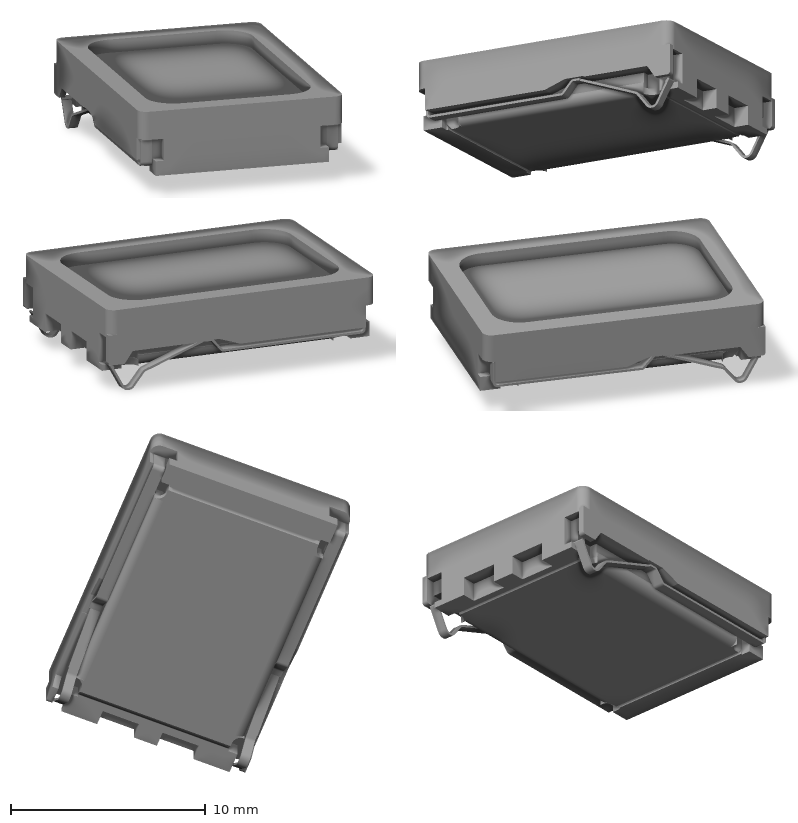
import cadquery as cq
import math

length = 15.0
width = 11.0
height = 3.45
corner_radius = 0.5
left = -length / 2
right = length / 2

rim_width = 1.1
tray_radius = 1.5
tray_depth = 0.7

wall_thickness = 0.33
wall_inner = width / 2 - wall_thickness
square_corner_top = 2.13
wall_foot = 0.51
foot_radius = 0.16
gap_ceiling = 1.14
crest_ceiling = 1.18
run_ceiling = 0.78
foot_end = left + 0.9
gap_start = left + 1.35
crest_pocket_start = left + 5.1
crest_pocket_end = left + 6.2
run_ceiling_start = left + 7.38

core_half_width = 4.65
bar_length = 1.08
bar_end = left + bar_length
end_block_length = 0.96
cove_radius = 0.5
end_half_width = core_half_width - cove_radius
yoke_half_length = length / 2 - bar_length - end_block_length
yoke_top = 0.6
yoke_edge_radius = 0.48
cove_top = 0.35
frame_set_back = 0.08
frame_half_width = core_half_width - frame_set_back
groove_width = 0.3
groove_depth = 0.33
toe_length = 0.1

left_notch_length = 0.51
right_notch_length = 0.57
notch_inner = 4.2
notch_top = 1.95
notch_floor = 0.33

slot_width = 2.04
slot_height = 1.02
slot_depth = 0.8
slot_offset = 1.65

spring_thickness = 0.12
core_clearance = 0.03
spring_low = -1.04
spring_inner = core_half_width + core_clearance
hook_outer = 5.19
beam_outer = 5.22
run_outer = 5.3
tip_inner = 4.5
tip_drop = 0.1
hook_radius = 0.33
bend_radius = 0.18

low_level = spring_low + spring_thickness / 2
crest_level = crest_ceiling - spring_thickness / 2
run_level = 0.46
tab_x = right - right_notch_length
tip = (left + 0.28, 0.38)
low_start = (left + 1.04, low_level)
low_end = (left + 1.42, low_level)
knee = (left + 2.13, -0.1)
crest_start = (left + 5.49, crest_level)
crest_end = (left + 5.9, crest_level)
run_start = (left + 6.46, run_level)
run_end = (tab_x, run_level)
tab_top = (tab_x, 1.75)


def block(x_min, x_max, y_min, y_max, z_min, z_max):
    """Box given by its limits along the three axes."""
    return cq.Workplane("XY").box(
        x_max - x_min, y_max - y_min, z_max - z_min, centered=False
    ).translate((x_min, y_min, z_min))


def both_sides(solid):
    """The solid together with its mirror image across the XZ plane."""
    return solid.union(solid.mirror("XZ"))


def extrude_across(outline, y_min, y_max):
    """Extrudes an XZ outline between two Y positions."""
    return outline.extrude(y_min - y_max).translate((0, y_min, 0))


def side_profile(points, y_min, y_max):
    """Prism along Y with an outline given as (x, z) points."""
    return extrude_across(cq.Workplane("XZ").polyline(points).close(), y_min, y_max)


def make_housing():
    body = block(left, right, -width / 2, width / 2, 0, height)
    body = body.edges("|Z").fillet(corner_radius)
    square_corner = block(
        left, left + corner_radius, wall_inner, width / 2, 0, square_corner_top
    )
    tray = (
        cq.Workplane("XY", origin=(0, 0, height))
        .rect(length - 2 * rim_width, width - 2 * rim_width)
        .extrude(-tray_depth)
        .edges("|Z")
        .fillet(tray_radius)
    )
    return body.union(both_sides(square_corner)).cut(tray)


def make_wall_opening():
    """Space below the side walls, stepped to follow the springs."""
    opening = side_profile(
        [
            (left, 0),
            (left, wall_foot),
            (foot_end, wall_foot),
            (gap_start, gap_ceiling),
            (crest_pocket_start, gap_ceiling),
            (crest_pocket_start, crest_ceiling),
            (crest_pocket_end, crest_ceiling),
            (run_ceiling_start, run_ceiling),
            (right, run_ceiling),
            (right, 0),
        ],
        core_half_width,
        width / 2,
    )
    hook_gap = block(left, crest_pocket_start, core_half_width, wall_inner, 0, gap_ceiling)
    return both_sides(opening.union(hook_gap))


def make_foot_round():
    """Rounds the lower -X edge of the side walls."""
    foot_edge = block(
        left, left + foot_radius, wall_inner, width / 2, wall_foot, wall_foot + foot_radius
    )
    rounding = (
        cq.Workplane("XZ", origin=(0, wall_inner, 0))
        .center(left + foot_radius, wall_foot + foot_radius)
        .circle(foot_radius)
        .extrude(-wall_thickness)
    )
    return both_sides(foot_edge.cut(rounding))


def make_end_recess():
    """Set-back between end bar and yoke, coved into the lower part of the yoke."""
    recess_end = -yoke_half_length
    recess = block(bar_end, recess_end, end_half_width, core_half_width, 0, gap_ceiling)
    cove = block(
        recess_end - cove_radius, recess_end, end_half_width, core_half_width, 0, cove_top
    ).cut(
        cq.Workplane("XY")
        .center(recess_end - cove_radius, core_half_width)
        .circle(cove_radius)
        .extrude(cove_top)
    )
    recess = both_sides(recess.cut(cove))
    groove = side_profile(
        [(bar_end + toe_length, 0), (bar_end, groove_depth), (bar_end + groove_width, 0)],
        -core_half_width,
        core_half_width,
    )
    return recess.union(groove)


def make_yoke_trim():
    """Rounds the lower side edges of the yoke and sets the frame above it back."""
    frame_step = block(
        -yoke_half_length, yoke_half_length, frame_half_width, core_half_width, yoke_top, gap_ceiling
    )
    edge_strip = block(
        -yoke_half_length, yoke_half_length,
        core_half_width - yoke_edge_radius, core_half_width,
        0, yoke_edge_radius,
    )
    edge_round = (
        cq.Workplane("YZ", origin=(-yoke_half_length, 0, 0))
        .center(core_half_width - yoke_edge_radius, yoke_edge_radius)
        .circle(yoke_edge_radius)
        .extrude(2 * yoke_half_length)
    )
    return both_sides(frame_step.union(edge_strip.cut(edge_round)))


def make_notches():
    left_notch = block(left, left + left_notch_length, notch_inner, wall_inner, notch_floor, notch_top)
    right_notch = block(right - right_notch_length, right, notch_inner, width / 2, run_ceiling, notch_top)
    return both_sides(left_notch.union(right_notch))


def make_slots():
    slot = block(
        left, left + slot_depth, slot_offset - slot_width / 2, slot_offset + slot_width / 2, 0, slot_height
    )
    return both_sides(slot)


def straight_strip(start, end, y_min, y_max):
    """Round-ended flat strip between two (x, z) points on its centre line."""
    run_x = end[0] - start[0]
    run_z = end[1] - start[1]
    outline = (
        cq.Workplane("XZ")
        .center((start[0] + end[0]) / 2, (start[1] + end[1]) / 2)
        .slot2D(
            math.hypot(run_x, run_z) + spring_thickness,
            spring_thickness,
            math.degrees(math.atan2(run_z, run_x)),
        )
    )
    return extrude_across(outline, y_min, y_max)


def bent_strip(points, y_min, y_max, radius):
    """Round-ended strip along an (x, z) centre line whose bends all have one radius."""
    path = cq.Workplane("XZ").polyline(points).wire().val()
    path = path.fillet(radius, path.Vertices()[1:-1])
    outline = path.offset2D(spring_thickness / 2)[0]
    return extrude_across(cq.Workplane("XZ").add(outline).toPending(), y_min, y_max)


def make_springs():
    """Contact springs: tip bar, V-shaped hook, sloping beam, crest, level run and upright tab."""
    tip_end = (tip[0] + tip_drop, tip[1] - tip_drop)
    tip_bar = straight_strip(tip, tip_end, tip_inner, hook_outer)
    beam_slope = (crest_start[1] - knee[1]) / (crest_start[0] - knee[0])
    beam_start = (knee[0] + hook_radius, knee[1] + hook_radius * beam_slope)
    hook = bent_strip([tip, low_start, low_end, knee, beam_start], spring_inner, hook_outer, hook_radius)
    beam = straight_strip(beam_start, crest_start, spring_inner, beam_outer)
    run = bent_strip(
        [crest_start, crest_end, run_start, run_end, tab_top], spring_inner, run_outer, bend_radius
    )
    return both_sides(tip_bar.union(hook).union(beam).union(run))


result = (
    make_housing()
    .cut(make_wall_opening())
    .cut(make_foot_round())
    .cut(make_end_recess())
    .cut(make_end_recess().mirror("YZ"))
    .cut(make_yoke_trim())
    .cut(make_notches())
    .cut(make_slots())
    .union(make_springs())
)